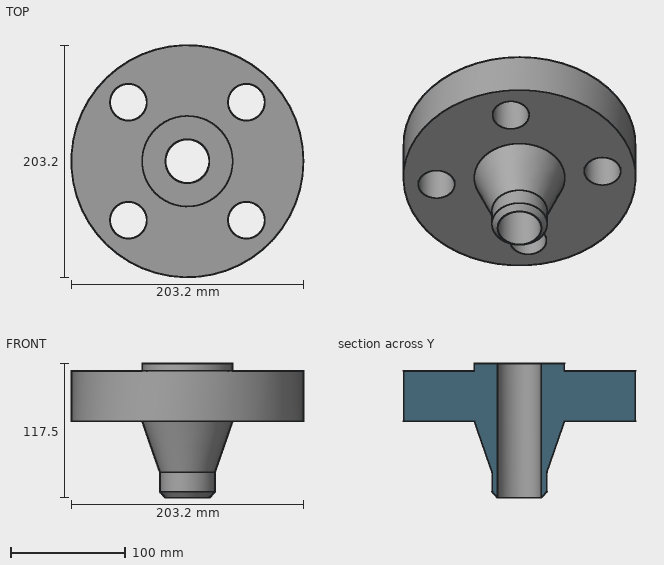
import cadquery as cq

flange_diameter = 203.2
flange_thickness = 44.0

face_diameter = 79.2
face_height = 6.5

hub_length = 44.5
neck_diameter = 48.4
neck_length = 17.0
bevel_height = 5.5
tip_diameter = 38.6

bore_diameter = 38.0
bolt_hole_count = 4
bolt_hole_diameter = 32.0
bolt_circle_diameter = 145.9
first_bolt_angle = 45.0

neck_bottom = bevel_height
hub_bottom = neck_bottom + neck_length
flange_bottom = hub_bottom + hub_length
flange_top = flange_bottom + flange_thickness
face_top = flange_top + face_height


def make_body():
    """Revolve the half section, bore included, around the Z axis."""
    section = [
        (bore_diameter / 2, 0),
        (tip_diameter / 2, 0),
        (neck_diameter / 2, neck_bottom),
        (neck_diameter / 2, hub_bottom),
        (face_diameter / 2, flange_bottom),
        (flange_diameter / 2, flange_bottom),
        (flange_diameter / 2, flange_top),
        (face_diameter / 2, flange_top),
        (face_diameter / 2, face_top),
        (bore_diameter / 2, face_top),
    ]
    return cq.Workplane("XZ").polyline(section).close().revolve(360, (0, 0), (0, 1))


def make_bolt_holes():
    """Cutters through the flange, evenly spaced on the bolt circle."""
    return (
        cq.Workplane("XY", origin=(0, 0, flange_bottom))
        .polarArray(bolt_circle_diameter / 2, first_bolt_angle, 360, bolt_hole_count)
        .circle(bolt_hole_diameter / 2)
        .extrude(flange_thickness)
    )


result = make_body().cut(make_bolt_holes())